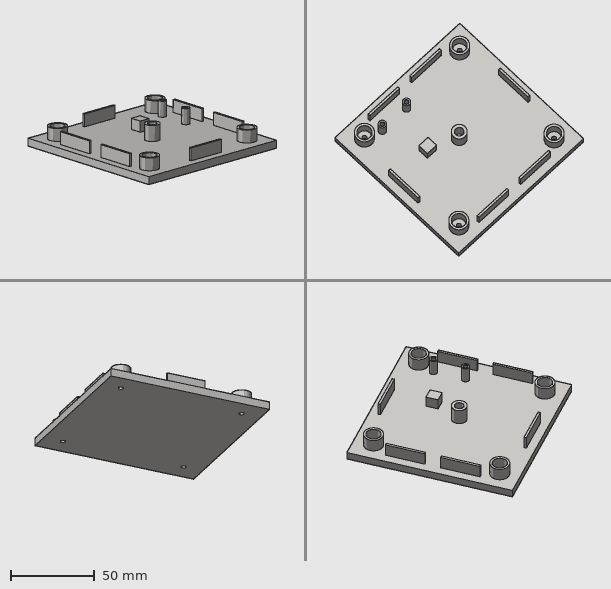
import cadquery as cq
import math

PLATE_SIDE = 105.0
PLATE_THICKNESS = 5.0

LOW_HEIGHT = 8.0
HIGH_HEIGHT = 10.0

SOCKET_OFFSET = 40.0
SOCKET_OUTER_DIAMETER = 12.0
SOCKET_INNER_DIAMETER = 9.0
SCREW_HOLE_DIAMETER = 3.0

WALL_LENGTH = 25.0
WALL_THICKNESS = 1.5
WALL_EDGE_GAP = 5.5
WALL_PAIR_GAP = 10.0

POST_OUTER_DIAMETER = 9.5
POST_INNER_DIAMETER = 5.5

PILLAR_CENTERS = [(-29.15, 35.83), (-8.83, 35.83)]
PILLAR_DIAMETER = 5.0
DRILL_DIAMETER = 2.52
DRILL_MOUTH_DIAMETER = 3.0
DRILL_DEPTH = HIGH_HEIGHT
DRILL_POINT_ANGLE = 118.0

BLOCK_CENTER = (-18.75, 7.8)
BLOCK_LENGTH = 7.7
BLOCK_WIDTH = 7.2
BLOCK_HEIGHT = 7.0

TOTAL_HEIGHT = PLATE_THICKNESS + HIGH_HEIGHT


def cylinder(center, diameter, bottom, height):
    """Vertical cylinder standing at the given bottom level."""
    return cq.Workplane("XY", origin=(*center, bottom)).circle(diameter / 2).extrude(height)


def block_on_plate(center, length, width, height):
    """Rectangular block standing on the top face of the plate."""
    return cq.Workplane("XY", origin=(*center, PLATE_THICKNESS)).rect(length, width).extrude(height)


def add_corner_sockets(body):
    for x in (-SOCKET_OFFSET, SOCKET_OFFSET):
        for y in (-SOCKET_OFFSET, SOCKET_OFFSET):
            center = (x, y)
            body = body.union(cylinder(center, SOCKET_OUTER_DIAMETER, PLATE_THICKNESS, LOW_HEIGHT))
            body = body.cut(cylinder(center, SOCKET_INNER_DIAMETER, PLATE_THICKNESS, LOW_HEIGHT))
            body = body.cut(cylinder(center, SCREW_HOLE_DIAMETER, 0, PLATE_THICKNESS))
    return body


def add_walls(body):
    """One wall beside each X edge and a pair beside each Y edge."""
    edge_offset = PLATE_SIDE / 2 - WALL_EDGE_GAP - WALL_THICKNESS / 2
    pair_offset = (WALL_PAIR_GAP + WALL_LENGTH) / 2
    for side in (-1, 1):
        edge = side * edge_offset
        body = body.union(block_on_plate((edge, 0), WALL_THICKNESS, WALL_LENGTH, LOW_HEIGHT))
        for x in (-pair_offset, pair_offset):
            body = body.union(block_on_plate((x, edge), WALL_LENGTH, WALL_THICKNESS, LOW_HEIGHT))
    return body


def add_central_post(body):
    center = (0, 0)
    body = body.union(cylinder(center, POST_OUTER_DIAMETER, PLATE_THICKNESS, HIGH_HEIGHT))
    return body.cut(cylinder(center, POST_INNER_DIAMETER, PLATE_THICKNESS, HIGH_HEIGHT))


def drilled_hole(center):
    """Blind hole with a 45 degree mouth chamfer and a conical drill point."""
    drill_radius = DRILL_DIAMETER / 2
    mouth_radius = DRILL_MOUTH_DIAMETER / 2
    chamfer_bottom = TOTAL_HEIGHT - (mouth_radius - drill_radius)
    shoulder = TOTAL_HEIGHT - DRILL_DEPTH
    tip = shoulder - drill_radius / math.tan(math.radians(DRILL_POINT_ANGLE / 2))
    profile = (
        cq.Workplane("XZ")
        .moveTo(0, tip)
        .lineTo(drill_radius, shoulder)
        .lineTo(drill_radius, chamfer_bottom)
        .lineTo(mouth_radius, TOTAL_HEIGHT)
        .lineTo(0, TOTAL_HEIGHT)
        .close()
    )
    return profile.revolve(360, (0, 0), (0, 1)).translate((*center, 0))


def add_screw_pillars(body):
    for center in PILLAR_CENTERS:
        body = body.union(cylinder(center, PILLAR_DIAMETER, PLATE_THICKNESS, HIGH_HEIGHT))
        body = body.cut(drilled_hole(center))
    return body


plate = cq.Workplane("XY").rect(PLATE_SIDE, PLATE_SIDE).extrude(PLATE_THICKNESS)
result = add_corner_sockets(plate)
result = add_walls(result)
result = add_central_post(result)
result = add_screw_pillars(result)
result = result.union(block_on_plate(BLOCK_CENTER, BLOCK_LENGTH, BLOCK_WIDTH, BLOCK_HEIGHT))